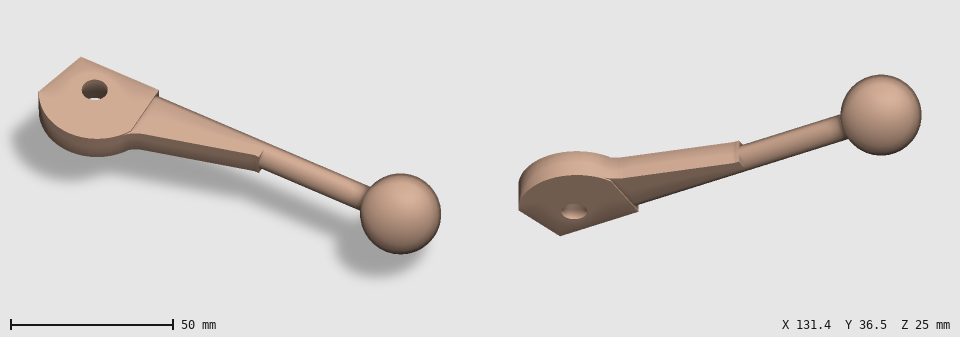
import cadquery as cq
import math

overall_length = 131.4
ball_radius = 12.5
ball_flat_radius = 5.0
rod_radius = 4.01

block_thickness = 9.1
block_width = 32.2
block_top_y = rod_radius
block_bottom_y = -24.0
cam_radius = 18.0
side_angle = math.radians(15)
pivot_diameter = 8.0
pivot_x = 14.8
pivot_y = -5.4

arm_thickness = 2 * rod_radius
arm_end_x = 71.5
arm_taper_x = 69.9
arm_tip_y = -rod_radius
arm_angle = math.radians(15)
arm_blend_radius = 10.0

cam_x = block_width / 2
cam_y = block_bottom_y + cam_radius
cam_corner_y = cam_y - math.sqrt(cam_radius**2 - cam_x**2)
ball_x = overall_length - ball_radius


def make_block():
    """Plate with one slanted side and a round cam edge."""
    slant_x = (block_top_y - cam_corner_y) * math.tan(side_angle)
    return (
        cq.Workplane("XY", origin=(0, 0, -block_thickness / 2))
        .moveTo(slant_x, block_top_y)
        .lineTo(block_width, block_top_y)
        .lineTo(block_width, cam_corner_y)
        .threePointArc((cam_x, block_bottom_y), (0, cam_corner_y))
        .close()
        .extrude(block_thickness)
    )


def make_arm():
    """Tapered plate whose lower edge blends tangentially into the cam arc."""
    along = (math.cos(arm_angle), math.sin(arm_angle))
    below = (math.sin(arm_angle), -math.cos(arm_angle))
    to_cam = (cam_x - arm_taper_x, cam_y - arm_tip_y)
    cam_along = to_cam[0] * along[0] + to_cam[1] * along[1]
    cam_below = to_cam[0] * below[0] + to_cam[1] * below[1]

    centre_distance = cam_radius + arm_blend_radius
    blend_along = cam_along + math.sqrt(centre_distance**2 - (arm_blend_radius - cam_below) ** 2)
    line_end = (arm_taper_x + blend_along * along[0], arm_tip_y + blend_along * along[1])
    blend_x = line_end[0] + arm_blend_radius * below[0]
    blend_y = line_end[1] + arm_blend_radius * below[1]

    line_direction = math.pi / 2 + arm_angle
    cam_direction = math.atan2(cam_y - blend_y, cam_x - blend_x)
    middle_direction = (line_direction + cam_direction) / 2

    def blend_point(direction):
        return (
            blend_x + arm_blend_radius * math.cos(direction),
            blend_y + arm_blend_radius * math.sin(direction),
        )

    return (
        cq.Workplane("XY", origin=(0, 0, -arm_thickness / 2))
        .moveTo(cam_x, 0)
        .lineTo(arm_end_x, 0)
        .lineTo(arm_end_x, arm_tip_y)
        .lineTo(arm_taper_x, arm_tip_y)
        .lineTo(*line_end)
        .threePointArc(blend_point(middle_direction), blend_point(cam_direction))
        .lineTo(cam_x, cam_y)
        .close()
        .extrude(arm_thickness)
    )


def make_rod():
    """Round rod from the side of the block to the centre of the ball."""
    return (
        cq.Workplane("YZ", origin=(block_width, 0, 0))
        .circle(rod_radius)
        .extrude(ball_x - block_width)
    )


def make_ball():
    """Ball turned about the rod axis, with a flat where the rod enters."""
    flat_x = ball_x - math.sqrt(ball_radius**2 - ball_flat_radius**2)
    return (
        cq.Workplane("XY")
        .moveTo(flat_x, 0)
        .lineTo(flat_x, ball_flat_radius)
        .threePointArc((ball_x, ball_radius), (overall_length, 0))
        .close()
        .revolve(360, (0, 0, 0), (1, 0, 0))
    )


pivot_hole = (
    cq.Workplane("XY", origin=(pivot_x, pivot_y, -block_thickness / 2))
    .circle(pivot_diameter / 2)
    .extrude(block_thickness)
)

result = make_block().union(make_arm()).union(make_rod()).union(make_ball()).cut(pivot_hole)